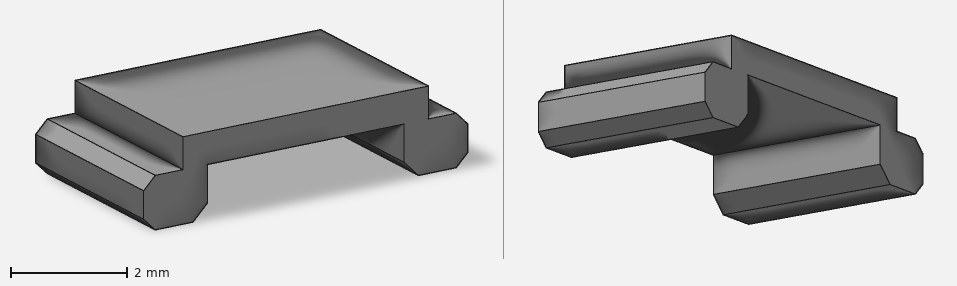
import cadquery as cq

width = 3.5
length = 6.6
height = 1.6

plate_length = 5.0
plate_thickness = 0.6

foot_gap = 4.0
foot_height = height - plate_thickness
outer_chamfer = 0.24
inner_chamfer = 0.3

half_length = length / 2
half_plate = plate_length / 2
half_gap = foot_gap / 2

half_profile = [
    (0, height),
    (half_plate, height),
    (half_plate, foot_height),
    (half_length - outer_chamfer, foot_height),
    (half_length, foot_height - outer_chamfer),
    (half_length, outer_chamfer),
    (half_length - outer_chamfer, 0),
    (half_gap + inner_chamfer, 0),
    (half_gap, inner_chamfer),
    (half_gap, foot_height),
    (0, foot_height),
]

result = (
    cq.Workplane("YZ")
    .polyline(half_profile)
    .mirrorY()
    .extrude(width / 2, both=True)
)